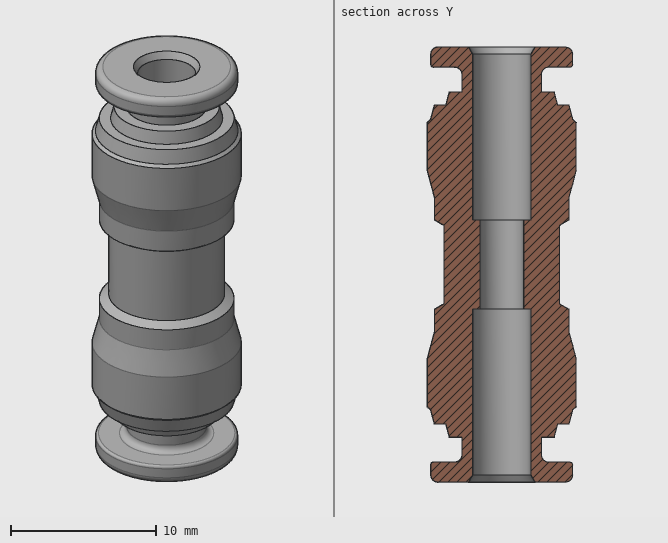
import cadquery as cq
import math

TOTAL_LENGTH = 30.0

TAPER = math.tan(math.radians(15))
MOUTH_SLOPE = math.tan(math.radians(30))
CONE_SLOPE = math.tan(math.radians(30))

BUTTON_DIAMETER = 9.8
BUTTON_THICKNESS = 1.4
BUTTON_OUTER_FILLET = 0.5
BUTTON_INNER_FILLET = 0.2
NECK_DIAMETER = 5.5
NECK_FILLET = 0.5

GUIDE_TIP_DIAMETER = 7.25
GUIDE_TIP_DEPTH = 3.1
GUIDE_BASE_DEPTH = 4.0
GUIDE_BASE_DIAMETER = GUIDE_TIP_DIAMETER + 2 * TAPER * (GUIDE_BASE_DEPTH - GUIDE_TIP_DEPTH)

SHOULDER_TIP_DIAMETER = 9.3
SHOULDER_BASE_DEPTH = 5.0
SHOULDER_BASE_DIAMETER = SHOULDER_TIP_DIAMETER + 2 * TAPER * (SHOULDER_BASE_DEPTH - GUIDE_BASE_DEPTH)
GRIP_DIAMETER = 10.3
GRIP_START_DEPTH = 5.2
GRIP_END_DEPTH = 8.5
BARREL_DIAMETER = 9.3
BARREL_START_DEPTH = GRIP_END_DEPTH + (GRIP_DIAMETER - BARREL_DIAMETER) / (2 * TAPER)
TUBE_DIAMETER = 8.0
CONE_END_DEPTH = 12.3
BARREL_END_DEPTH = CONE_END_DEPTH - CONE_SLOPE * (BARREL_DIAMETER - TUBE_DIAMETER) / 2

PASSAGE_DIAMETER = 3.0
SOCKET_DIAMETER = 4.0
SOCKET_DEPTH = BARREL_END_DEPTH
MOUTH_DEPTH = 0.5
MOUTH_DIAMETER = SOCKET_DIAMETER + 2 * MOUTH_DEPTH * MOUTH_SLOPE

HALF_LENGTH = TOTAL_LENGTH / 2


def at(diameter, depth):
    """Profile point (radius, Z) at a depth below the upper end face."""
    return (diameter / 2, HALF_LENGTH - depth)


def fillet_middle(centre_radius, centre_depth, size, radial_side, axial_side):
    """Middle point of a quarter-circle fillet; the sides (+1 or -1) point from its centre to the arc."""
    reach = size * math.sqrt(0.5)
    return (centre_radius + radial_side * reach, HALF_LENGTH - centre_depth + axial_side * reach)


def upper_head():
    """Solid of revolution from the upper end face to the foot of the cone."""
    button_radius = BUTTON_DIAMETER / 2
    outer_middle = fillet_middle(button_radius - BUTTON_OUTER_FILLET, BUTTON_OUTER_FILLET,
                                 BUTTON_OUTER_FILLET, 1, 1)
    inner_middle = fillet_middle(button_radius - BUTTON_INNER_FILLET, BUTTON_THICKNESS - BUTTON_INNER_FILLET,
                                 BUTTON_INNER_FILLET, 1, -1)
    neck_middle = fillet_middle(NECK_DIAMETER / 2 + NECK_FILLET, BUTTON_THICKNESS + NECK_FILLET,
                                NECK_FILLET, -1, 1)
    profile = (
        cq.Workplane("XZ")
        .moveTo(*at(0, 0))
        .lineTo(*at(BUTTON_DIAMETER - 2 * BUTTON_OUTER_FILLET, 0))
        .threePointArc(outer_middle, at(BUTTON_DIAMETER, BUTTON_OUTER_FILLET))
        .lineTo(*at(BUTTON_DIAMETER, BUTTON_THICKNESS - BUTTON_INNER_FILLET))
        .threePointArc(inner_middle, at(BUTTON_DIAMETER - 2 * BUTTON_INNER_FILLET, BUTTON_THICKNESS))
        .lineTo(*at(NECK_DIAMETER + 2 * NECK_FILLET, BUTTON_THICKNESS))
        .threePointArc(neck_middle, at(NECK_DIAMETER, BUTTON_THICKNESS + NECK_FILLET))
        .lineTo(*at(NECK_DIAMETER, GUIDE_TIP_DEPTH))
        .lineTo(*at(GUIDE_TIP_DIAMETER, GUIDE_TIP_DEPTH))
        .lineTo(*at(GUIDE_BASE_DIAMETER, GUIDE_BASE_DEPTH))
        .lineTo(*at(SHOULDER_TIP_DIAMETER, GUIDE_BASE_DEPTH))
        .lineTo(*at(SHOULDER_BASE_DIAMETER, SHOULDER_BASE_DEPTH))
        .lineTo(*at(GRIP_DIAMETER, GRIP_START_DEPTH))
        .lineTo(*at(GRIP_DIAMETER, GRIP_END_DEPTH))
        .lineTo(*at(BARREL_DIAMETER, BARREL_START_DEPTH))
        .lineTo(*at(BARREL_DIAMETER, BARREL_END_DEPTH))
        .lineTo(*at(TUBE_DIAMETER, CONE_END_DEPTH))
        .lineTo(*at(0, CONE_END_DEPTH))
        .close()
    )
    return profile.revolve(360, (0, 0, 0), (0, 1, 0))


def upper_socket():
    """Space for the inserted hose: conical mouth followed by a straight socket."""
    profile = (
        cq.Workplane("XZ")
        .moveTo(*at(0, 0))
        .lineTo(*at(MOUTH_DIAMETER, 0))
        .lineTo(*at(SOCKET_DIAMETER, MOUTH_DEPTH))
        .lineTo(*at(SOCKET_DIAMETER, SOCKET_DEPTH))
        .lineTo(*at(0, SOCKET_DEPTH))
        .close()
    )
    return profile.revolve(360, (0, 0, 0), (0, 1, 0))


def centred_cylinder(diameter, length):
    """Cylinder on the Z axis, centred on the mid plane."""
    return cq.Workplane("XY").cylinder(length, diameter / 2)


head = upper_head().cut(upper_socket())
middle_tube = centred_cylinder(TUBE_DIAMETER, TOTAL_LENGTH - 2 * CONE_END_DEPTH)
passage = centred_cylinder(PASSAGE_DIAMETER, TOTAL_LENGTH)

result = middle_tube.union(head).union(head.mirror("XY")).cut(passage)